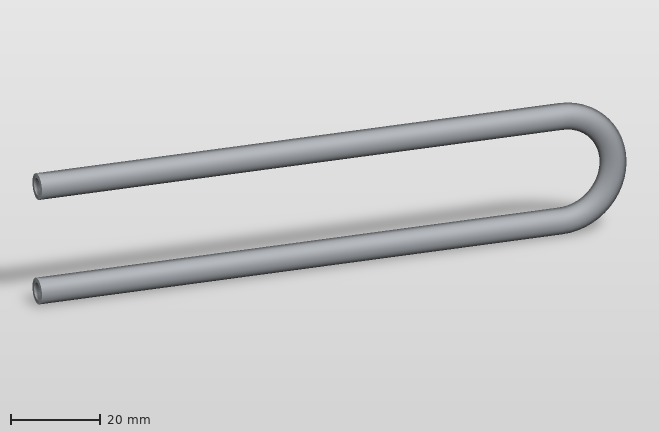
import cadquery as cq

overall_length = 140.5
overall_height = 31.0
tube_diameter = 6.0
bore_diameter = 4.0

bend_radius = (overall_height - tube_diameter) / 2
leg_length = overall_length - overall_height / 2


def make_leg(height):
    """Straight tube along +Y, starting at Y = 0 at the given height."""
    return (
        cq.Workplane("XZ", origin=(0, 0, height))
        .circle(tube_diameter / 2)
        .circle(bore_diameter / 2)
        .extrude(-leg_length)
    )


def make_bend():
    """Half torus tube joining the far ends of both legs."""
    return (
        cq.Workplane("XZ", origin=(0, leg_length, -bend_radius))
        .circle(tube_diameter / 2)
        .circle(bore_diameter / 2)
        .revolve(180, (0, bend_radius, 0), (1, bend_radius, 0))
    )


result = make_bend()
for leg_height in (-bend_radius, bend_radius):
    result = result.union(make_leg(leg_height))